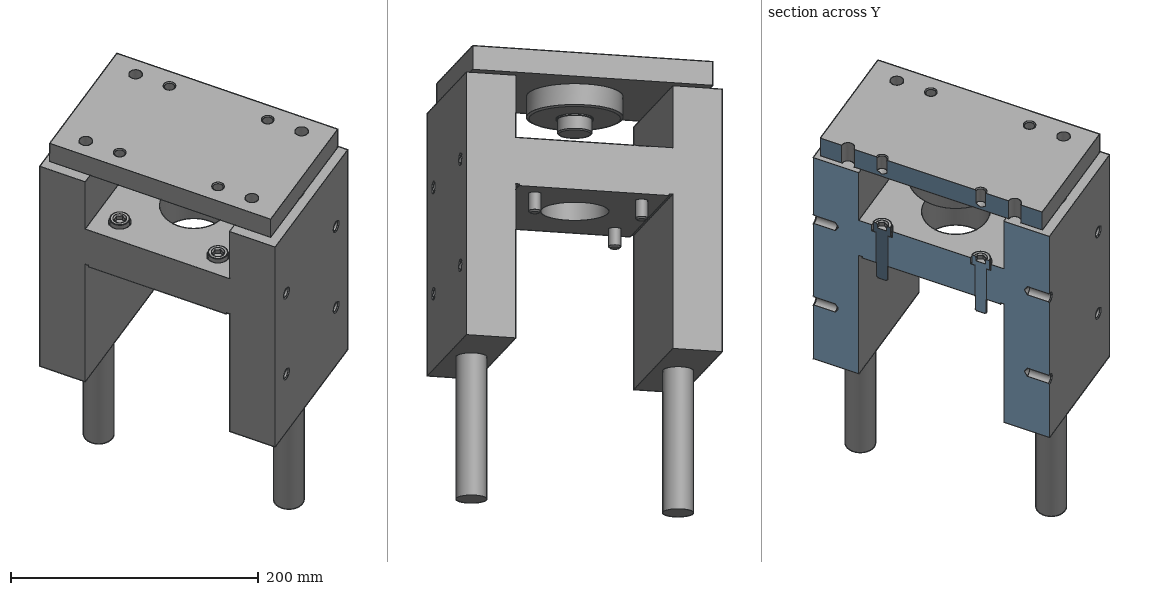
import cadquery as cq
import math

PLATE_THICKNESS = 20.0
PLATE_GAP = 4.0
LEG_HEIGHT = 220.0
TOTAL_HEIGHT = 363.0

HOUSING_LENGTH = 213.0
HOUSING_WIDTH = 130.0
LEG_GAP = 130.5
CROSSBAR_DROP = 52.0
CROSSBAR_THICKNESS = 40.3
RELIEF_WIDTH = 3.0
RELIEF_DEPTH = 1.5
CENTER_BORE_DIAMETER = 55.0

PATTERN_PITCH = 89.0
SIDE_HOLE_DROP = 67.5

TAP_DRILL_DIAMETER = 8.5
TAP_MOUTH_DIAMETER = 10.0
PLATE_TAP_DEPTH = 14.5
SIDE_TAP_DEPTH = 20.0
DRILL_POINT_ANGLE = 118.0

PLATE_LENGTH = 200.0
PLATE_WIDTH = 120.0
PLATE_HOLE_DIAMETER = 11.0
PLATE_HOLE_PITCH_X = 150.3
ROD_DIAMETER = 25.0
ROD_PITCH = 172.0
FLANGE_DIAMETER = 78.0
FLANGE_HEIGHT = 18.5
FLANGE_CHAMFER_WIDTH = 2.0
FLANGE_CHAMFER_HEIGHT = 1.0
COLLAR_DIAMETER = 30.0
COLLAR_HEIGHT = 1.0
NOSE_DIAMETER = 28.0
NOSE_DROP = 31.5
NOSE_CHAMFER = 1.0

SHANK_DIAMETER = 10.0
SHANK_OVERHANG = 16.0
SHANK_CHAMFER = 1.5
HEAD_DIAMETER = 16.0
HEAD_CHAMFER = 0.5
HEAD_PROTRUSION = 3.5
COUNTERBORE_DIAMETER = 18.0
COUNTERBORE_DEPTH = 6.5
SOCKET_MOUTH_DIAMETER = 11.0
SOCKET_WIDTH = 8.0
SOCKET_DEPTH = 5.0

plate_top = TOTAL_HEIGHT
plate_bottom = plate_top - PLATE_THICKNESS
leg_top = plate_bottom - PLATE_GAP
leg_bottom = leg_top - LEG_HEIGHT
crossbar_top = leg_top - CROSSBAR_DROP
crossbar_bottom = crossbar_top - CROSSBAR_THICKNESS
counterbore_bottom = crossbar_top - COUNTERBORE_DEPTH
rod_positions = [(-ROD_PITCH / 2, 0), (ROD_PITCH / 2, 0)]
half_pitch = PATTERN_PITCH / 2
screw_positions = [(x, y) for x in (-half_pitch, half_pitch) for y in (-half_pitch, half_pitch)]


def cylinders(points, diameter, bottom, top):
    """Vertical cylinders between two heights."""
    base = cq.Workplane("XY", origin=(0, 0, bottom))
    return base.pushPoints(points).circle(diameter / 2).extrude(top - bottom)


def tapped_hole(mouth, direction, depth):
    """Cutter for a blind hole that starts at `mouth` and runs along `direction`."""
    drill_radius = TAP_DRILL_DIAMETER / 2
    mouth_radius = TAP_MOUTH_DIAMETER / 2
    lead_in = mouth_radius - drill_radius
    tip = depth + drill_radius / math.tan(math.radians(DRILL_POINT_ANGLE / 2))
    across = cq.Vector(0, 1, 0)
    plane = cq.Plane(origin=mouth, xDir=across, normal=across.cross(direction))
    profile = [
        (0, 0),
        (mouth_radius, 0),
        (drill_radius, lead_in),
        (drill_radius, depth),
        (0, tip),
    ]
    return cq.Workplane(plane).polyline(profile).close().revolve(360, (0, 0), (0, 1))


def make_housing():
    """H-shaped block with guide bores, screw holes and tapped leg sides."""
    half_gap = LEG_GAP / 2
    half_length = HOUSING_LENGTH / 2
    relief_x = half_gap - RELIEF_WIDTH
    relief_top = crossbar_bottom + RELIEF_DEPTH
    right_half = [
        (0, crossbar_top),
        (half_gap, crossbar_top),
        (half_gap, leg_top),
        (half_length, leg_top),
        (half_length, leg_bottom),
        (half_gap, leg_bottom),
        (half_gap, relief_top),
        (relief_x, relief_top),
        (relief_x, crossbar_bottom),
        (0, crossbar_bottom),
    ]
    housing = cq.Workplane("XZ").polyline(right_half).mirrorY().extrude(HOUSING_WIDTH / 2, both=True)

    housing = housing.cut(cylinders(rod_positions, ROD_DIAMETER, leg_bottom, leg_top))
    housing = housing.cut(cylinders([(0, 0)], CENTER_BORE_DIAMETER, crossbar_bottom, crossbar_top))
    housing = housing.cut(cylinders(screw_positions, SHANK_DIAMETER, crossbar_bottom, crossbar_top))
    housing = housing.cut(cylinders(screw_positions, COUNTERBORE_DIAMETER, counterbore_bottom, crossbar_top))

    for side in (-1, 1):
        for y in (-half_pitch, half_pitch):
            for drop in (SIDE_HOLE_DROP, SIDE_HOLE_DROP + PATTERN_PITCH):
                mouth = (side * half_length, y, leg_top - drop)
                housing = housing.cut(tapped_hole(mouth, cq.Vector(-side, 0, 0), SIDE_TAP_DEPTH))
    return housing


def make_coupling():
    """Flange, collar and nose under the plate, turned about the Z axis."""
    flange_radius = FLANGE_DIAMETER / 2
    nose_radius = NOSE_DIAMETER / 2
    flange_bottom = plate_bottom - FLANGE_HEIGHT
    nose_bottom = plate_bottom - NOSE_DROP
    collar_bottom = flange_bottom - COLLAR_HEIGHT
    profile = [
        (0, plate_bottom),
        (flange_radius, plate_bottom),
        (flange_radius, flange_bottom + FLANGE_CHAMFER_HEIGHT),
        (flange_radius - FLANGE_CHAMFER_WIDTH, flange_bottom),
        (COLLAR_DIAMETER / 2, flange_bottom),
        (COLLAR_DIAMETER / 2, collar_bottom),
        (nose_radius, collar_bottom),
        (nose_radius, nose_bottom + NOSE_CHAMFER),
        (nose_radius - NOSE_CHAMFER, nose_bottom),
        (0, nose_bottom),
    ]
    return cq.Workplane("XZ").polyline(profile).close().revolve(360, (0, 0), (0, 1))


def make_moving_plate():
    """Plate with its holes, the two guide rods and the coupling, as one solid."""
    plate = (
        cq.Workplane("XY", origin=(0, 0, plate_bottom))
        .rect(PLATE_LENGTH, PLATE_WIDTH)
        .extrude(PLATE_THICKNESS)
    )
    half_hole_pitch = PLATE_HOLE_PITCH_X / 2
    hole_positions = [(x, y) for x in (-half_hole_pitch, half_hole_pitch) for y in (-half_pitch, half_pitch)]
    plate = plate.cut(cylinders(hole_positions, PLATE_HOLE_DIAMETER, plate_bottom, plate_top))
    for x, y in screw_positions:
        plate = plate.cut(tapped_hole((x, y, plate_top), cq.Vector(0, 0, -1), PLATE_TAP_DEPTH))
    rods = cylinders(rod_positions, ROD_DIAMETER, 0, plate_bottom)
    return plate.union(rods).union(make_coupling())


def make_screw(x, y):
    """Screw whose head rests on its counterbore floor and whose tip passes the crossbar."""
    head_top = crossbar_top + HEAD_PROTRUSION
    shank = cylinders([(x, y)], SHANK_DIAMETER, crossbar_bottom - SHANK_OVERHANG, counterbore_bottom)
    shank = shank.faces("<Z").chamfer(SHANK_CHAMFER)
    head = cylinders([(x, y)], HEAD_DIAMETER, counterbore_bottom, head_top)
    head = head.faces(">Z").chamfer(HEAD_CHAMFER)
    socket = (
        cq.Workplane("XY", origin=(x, y, head_top))
        .polygon(6, SOCKET_WIDTH, circumscribed=True)
        .extrude(-SOCKET_DEPTH)
    )
    mouth_radius = SOCKET_MOUTH_DIAMETER / 2
    lead_in = (
        cq.Workplane("XY", origin=(x, y, head_top))
        .circle(mouth_radius)
        .workplane(offset=-(mouth_radius - SOCKET_WIDTH / 2))
        .circle(SOCKET_WIDTH / 2)
        .loft()
    )
    return shank.union(head).cut(socket).cut(lead_in)


housing = make_housing()
moving_plate = make_moving_plate()
screws = [make_screw(x, y) for x, y in screw_positions]

result = cq.Compound.makeCompound([housing.val(), moving_plate.val(), *[screw.val() for screw in screws]])